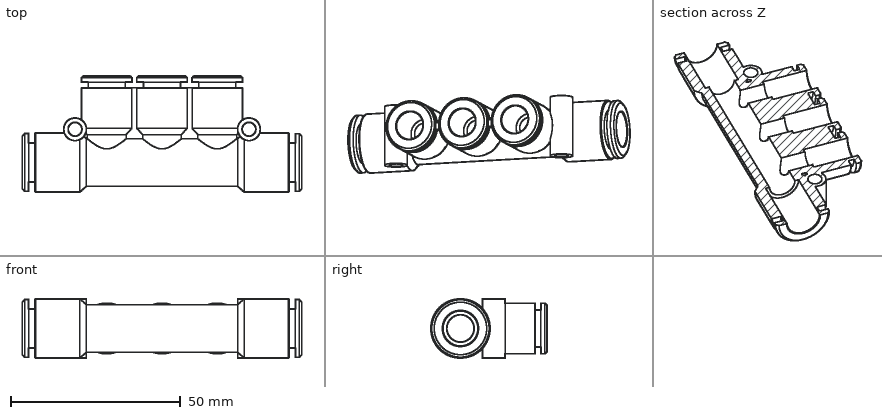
import cadquery as cq


run_length = 82.5
run_tube_dia = 14.1
run_bore_dia = 8.0
run_socket_depth = 17.0
run_body_dia = 17.5
run_body_end = 37.6
run_body_start = 24.2
run_cone_start = 22.3
run_body_chamfer = 0.3
run_neck_dia = 11.6
run_socket_dia = 10.3
run_collar_dia = 17.1
run_collar_chamfer = 0.8

branch_count = 3
branch_pitch = 16.3
overall_width = 34.33
branch_end = overall_width - run_body_dia / 2
branch_body_dia = 15.0
branch_body_end = 22.1
branch_body_start = 10.1
branch_cone_start = 8.2
branch_stem_dia = 11.6
branch_body_chamfer = 0.15
branch_neck_dia = 11.0
branch_socket_dia = 8.2
branch_socket_depth = 14.0
branch_bore_dia = 6.0
branch_collar_dia = branch_body_dia
branch_collar_chamfer = 0.65

collar_thickness = 1.9
mouth_chamfer = 0.2

web_thickness = 2.0

bush_outer_dia = 6.7
bush_hole_dia = 4.0
bush_height = run_body_dia
bush_x = 25.65
bush_y = 9.8


def port_profile(stem_dia, cone_start, body_start, body_dia, body_end,
                 body_chamfer, neck_dia, collar_dia, collar_chamfer, end):
    """Half outline of a port as (radius, distance) points, from the origin outwards."""
    return [
        (0, 0),
        (stem_dia / 2, 0),
        (stem_dia / 2, cone_start),
        (body_dia / 2, body_start),
        (body_dia / 2, body_end - body_chamfer),
        (body_dia / 2 - body_chamfer, body_end),
        (neck_dia / 2, body_end),
        (neck_dia / 2, end - collar_thickness),
        (collar_dia / 2, end - collar_thickness),
        (collar_dia / 2, end - collar_chamfer),
        (collar_dia / 2 - collar_chamfer, end),
        (0, end),
    ]


def passage_profile(bore_dia, socket_dia, socket_depth, end):
    """Half outline of a port's passage: bore, stepped tube socket and chamfered mouth."""
    return [
        (0, 0),
        (bore_dia / 2, 0),
        (bore_dia / 2, end - socket_depth),
        (socket_dia / 2, end - socket_depth),
        (socket_dia / 2, end - mouth_chamfer),
        (socket_dia / 2 + mouth_chamfer, end),
        (0, end),
    ]


def revolve_about_y(profile):
    return cq.Workplane("XY").polyline(profile).close().revolve(360, (0, 0, 0), (0, 1, 0))


def place_on_run(port):
    """Turn a port pointing along +Y to both ends of the run."""
    turned = [port.rotate((0, 0, 0), (0, 0, 1), angle) for angle in (-90, 90)]
    return turned[0].union(turned[1])


def place_on_branches(port):
    first_x = -branch_pitch * (branch_count - 1) / 2
    ports = cq.Workplane("XY")
    for index in range(branch_count):
        ports = ports.union(port.translate((first_x + index * branch_pitch, 0, 0)))
    return ports


def make_web():
    """Flat web joining the branches, from the run axis to the branch body ends."""
    length = branch_pitch * (branch_count - 1)
    return (
        cq.Workplane("XY")
        .box(length, branch_body_end, web_thickness, centered=(True, False, True))
    )


def bush_cylinders(diameter):
    return (
        cq.Workplane("XY")
        .pushPoints([(-bush_x, bush_y), (bush_x, bush_y)])
        .circle(diameter / 2)
        .extrude(bush_height / 2, both=True)
    )


run_port = revolve_about_y(port_profile(
    run_tube_dia, run_cone_start, run_body_start, run_body_dia, run_body_end,
    run_body_chamfer, run_neck_dia, run_collar_dia, run_collar_chamfer, run_length / 2))
run_passage = revolve_about_y(passage_profile(
    run_bore_dia, run_socket_dia, run_socket_depth, run_length / 2))

branch_port = revolve_about_y(port_profile(
    branch_stem_dia, branch_cone_start, branch_body_start, branch_body_dia, branch_body_end,
    branch_body_chamfer, branch_neck_dia, branch_collar_dia, branch_collar_chamfer, branch_end))
branch_passage = revolve_about_y(passage_profile(
    branch_bore_dia, branch_socket_dia, branch_socket_depth, branch_end))

result = (
    place_on_run(run_port)
    .union(place_on_branches(branch_port))
    .union(make_web())
    .union(bush_cylinders(bush_outer_dia))
    .cut(place_on_run(run_passage))
    .cut(place_on_branches(branch_passage))
    .cut(bush_cylinders(bush_hole_dia))
)